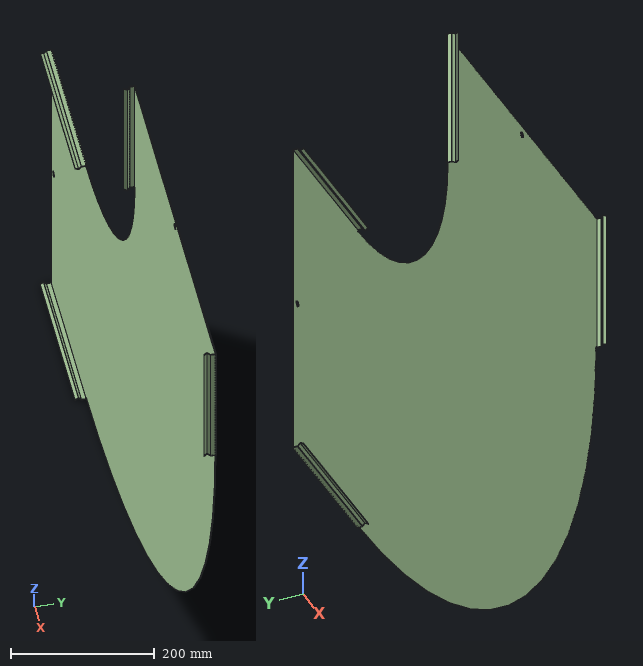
import cadquery as cq

overall_size = 1018.0
overall_depth = 17.0
sheet_thickness = 1.5
arm_length = 217.0
arm_width = 503.0
bend_edge_inset = 3.0

straight_leg_depth = 8.0
crease_depth = 12.0
crease_inset = 6.0
lip_inset = 3.0

hole_diameter = 8.0
hole_end_distance = 14.0

arm_outer = overall_size - arm_length
arm_inner = arm_outer - arm_width
arm_middle = (arm_outer + arm_inner) / 2
outer_radius = arm_outer - bend_edge_inset
inner_radius = arm_inner + bend_edge_inset


def bend_plate():
    """Flat quarter ring between the two arms."""
    quarter = cq.Workplane("XZ").rect(outer_radius, -outer_radius, centered=False).extrude(sheet_thickness)
    ring = cq.Workplane("XZ").circle(outer_radius).circle(inner_radius).extrude(sheet_thickness)
    return ring.intersect(quarter)


def clip_flange(edge, inward):
    """Flange along an arm edge at x = edge; inward is the X direction (+1 or -1) to the arm middle."""
    outer_face = [
        (0, 0),
        (0, -straight_leg_depth),
        (crease_inset - sheet_thickness, -crease_depth),
        (lip_inset - sheet_thickness, -overall_depth),
    ]
    inner_face = [(inset + sheet_thickness, y) for inset, y in reversed(outer_face)]
    profile = [(edge + inward * inset, y) for inset, y in outer_face + inner_face]
    return cq.Workplane("XY").polyline(profile).close().extrude(arm_length)


def upright_arm():
    """Straight arm running up from the bend, with a flange on each long edge and a hole at its end."""
    plate = (
        cq.Workplane("XZ")
        .moveTo(arm_inner, 0)
        .rect(arm_width, arm_length, centered=False)
        .extrude(sheet_thickness)
    )
    hole = (
        cq.Workplane("XZ")
        .center(arm_middle, arm_length - hole_end_distance)
        .circle(hole_diameter / 2)
        .extrude(sheet_thickness)
    )
    return plate.union(clip_flange(arm_inner, 1)).union(clip_flange(arm_outer, -1)).cut(hole)


arm = upright_arm()
level_arm = arm.rotate((0, 0, 0), (0, 1, 0), 90).mirror("YZ")

result = bend_plate().union(arm).union(level_arm)